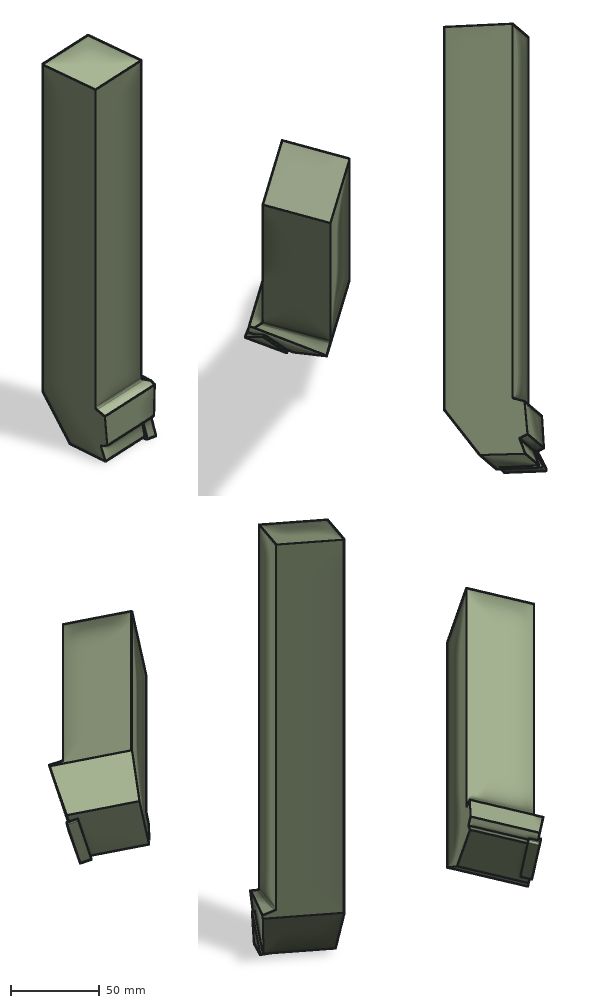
import cadquery as cq
import math

length = 251.4
shank_width = 40.0
corner_chamfer = 0.5

head_bottom = 2.8
heel_height = 30.2
heel_length = 20.9
shoulder_height = 35.0
shoulder_slope = 0.33
head_side_top = 47.0
head_side_bottom = 48.8
lip_height = 13.5
notch_x = 44.0
notch_height = 11.3
toe_x = 47.5
toe_height = 2.3
head_depth = 47.8
shoulder_fillet = 1.5
block_size = 150.8

tilt_x = 0.1
tilt_z = 0.13
tilt_normal = cq.Vector(tilt_x, 1, -tilt_z)

insert_side = 27.1
insert_thickness = 6.8
insert_nose = 1.0
nose_overhang = insert_nose * (math.sqrt(3) - 1)
insert_tip_x = 50.3 + nose_overhang
insert_tip_y = 40.2
insert_tip_z = -0.05
insert_drop = 0.03


def make_tilted_plane(origin):
    """Plane facing the tilted back, with its x axis running toward the -X side."""
    edge_y = tilt_x + tilt_z * insert_drop
    edge_direction = cq.Vector(-1, edge_y, insert_drop)
    return cq.Plane(origin=origin, xDir=edge_direction, normal=tilt_normal)


def make_insert():
    plane = make_tilted_plane((insert_tip_x, insert_tip_y, insert_tip_z))
    triangle_height = insert_side * math.sqrt(3) / 2
    return (
        cq.Workplane(plane)
        .polyline([(0, 0), (insert_side, 0), (insert_side / 2, triangle_height)])
        .close()
        .extrude(-insert_thickness)
        .edges(cq.selectors.ParallelDirSelector(tilt_normal))
        .fillet(insert_nose)
    )


def make_holder(insert):
    side_shoulder = shoulder_height - shoulder_slope * (head_side_top - shank_width)
    outline = [
        (0, length),
        (shank_width, length),
        (shank_width, shoulder_height),
        (head_side_top, side_shoulder),
        (head_side_bottom, lip_height),
        (notch_x, notch_height),
        (toe_x, toe_height),
        (heel_length, head_bottom),
        (0, heel_height),
    ]
    holder = cq.Workplane("XZ").polyline(outline).close().extrude(-block_size / 2)
    side_root = cq.selectors.NearestToPointSelector((shank_width, block_size / 4, shoulder_height))
    holder = holder.edges(side_root).fillet(shoulder_fillet)

    overhang = block_size / 2
    back_waste = (
        cq.Workplane("YZ")
        .moveTo(shank_width, length)
        .lineTo(shank_width, shoulder_height)
        .lineTo(shank_width + overhang, shoulder_height - shoulder_slope * overhang)
        .lineTo(shank_width + overhang, length)
        .close()
        .extrude(block_size)
    )
    back_root = cq.selectors.NearestToPointSelector((block_size / 2, shank_width, shoulder_height))
    back_waste = back_waste.edges(back_root).fillet(shoulder_fillet)
    holder = holder.cut(back_waste)

    back_plane = make_tilted_plane((0, head_depth, heel_height))
    holder = holder.cut(
        cq.Workplane(back_plane).rect(block_size, block_size).extrude(block_size)
    )

    front_corner = cq.selectors.NearestToPointSelector((0, 0, (heel_height + length) / 2))
    holder = holder.edges(front_corner).chamfer(corner_chamfer)

    seat = insert.faces(cq.selectors.DirectionMinMaxSelector(tilt_normal)).wires().toPending()
    seat = seat.workplane().extrude(insert_thickness, combine=False)
    return holder.cut(insert).cut(seat)


insert = make_insert()
holder = make_holder(insert)

result = cq.Compound.makeCompound([holder.solids().val(), insert.val()])